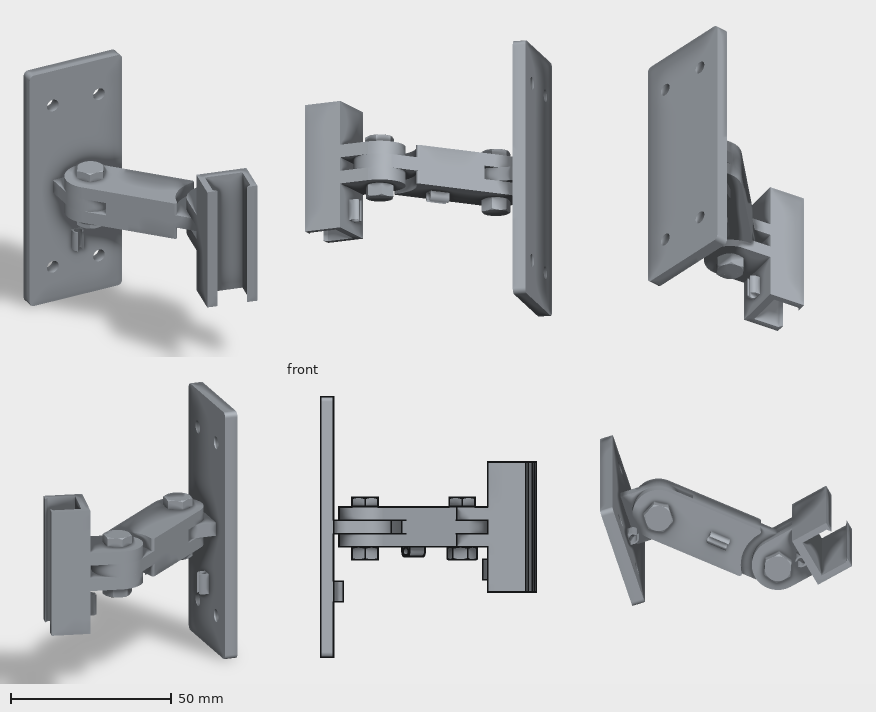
import cadquery as cq
import math


JOINT_WIDTH = 16.256
JOINT_RADIUS = JOINT_WIDTH / 2
TONGUE_THICKNESS = 4.32
CHEEK_THICKNESS = 4.064
FORK_HEIGHT = TONGUE_THICKNESS + 2 * CHEEK_THICKNESS

PLATE_THICKNESS = 4.064
PLATE_WIDTH = 32.512
PLATE_HEIGHT = 81.28
PLATE_CORNER_RADIUS = 1.524
SCREW_HOLE_DIAMETER = 4.064
SCREW_SPACING_Y = PLATE_WIDTH / 2
SCREW_SPACING_Z = 56.9
PLATE_EYELET_Z = -20.1

WALL_PIVOT_X = 13.818
ARM_ANGLE = 41.86
ARM_LENGTH = 40.64
CHANNEL_ANGLE = -11.5
CHANNEL_PIVOT_X = WALL_PIVOT_X + ARM_LENGTH * math.cos(math.radians(ARM_ANGLE))
CHANNEL_PIVOT_Y = ARM_LENGTH * math.sin(math.radians(ARM_ANGLE))

FORK_SLOT_DEPTH = JOINT_RADIUS
SHOULDER_RADIUS = 11.58
SHOULDER_CORNER_RADIUS = 0.7

CHANNEL_BACK = 9.754
CHANNEL_DEPTH = 12.192
CHANNEL_HEIGHT = 40.64
CHANNEL_WEB = 2.54
CHANNEL_FLANGE = 2.032
LIP_LENGTH = 0.95
LIP_HEIGHT = 1.27
CHANNEL_EYELET_Z = -(FORK_HEIGHT + CHANNEL_HEIGHT) / 4

EYELET_WIDTH = 3.556
EYELET_CENTER_HEIGHT = 1.45
EYELET_MOUTH = 1.65
EYELET_LENGTH = 6.5
EYELET_WALL = 0.508

SHANK_DIAMETER = 5.08
HEX_ACROSS_FLATS = 8.128
HEX_ACROSS_CORNERS = HEX_ACROSS_FLATS / math.cos(math.radians(30))
HEAD_HEIGHT = 3.048
WASHER_FACE_HEIGHT = 0.25
NUT_HEIGHT = 4.064
HEX_CHAMFER_ANGLE = 30
BOLT_HEX_ANGLE = 30
WALL_NUT_ANGLE = 30
CHANNEL_NUT_ANGLE = 52.5


def at_wall_pivot(body, angle=0.0):
    return body.rotate((0, 0, 0), (0, 0, 1), angle).translate((WALL_PIVOT_X, 0, 0))


def at_channel_pivot(body, angle=0.0):
    turned = body.rotate((0, 0, 0), (0, 0, 1), angle)
    return turned.translate((CHANNEL_PIVOT_X, CHANNEL_PIVOT_Y, 0))


def box_between(x_start, x_end, width, height):
    """Box centred on Y = 0 and Z = 0."""
    middle = (x_start + x_end) / 2
    return cq.Workplane("XY").box(x_end - x_start, width, height).translate((middle, 0, 0))


def upright_cylinder(radius, height):
    """Cylinder on the Z axis, centred on Z = 0."""
    return cq.Workplane("XY").circle(radius).extrude(height / 2, both=True)


def pivot_hole():
    return upright_cylinder(SHANK_DIAMETER / 2, FORK_HEIGHT)


def eyelet():
    """Open cable clip standing on the plane X = 0, rising along +X, with its bore along Z."""
    legs = box_between(0, EYELET_CENTER_HEIGHT, EYELET_WIDTH, EYELET_LENGTH)
    center = (EYELET_CENTER_HEIGHT, 0, 0)
    ring = upright_cylinder(EYELET_WIDTH / 2, EYELET_LENGTH).translate(center)
    bore = upright_cylinder(EYELET_WIDTH / 2 - EYELET_WALL, EYELET_LENGTH).translate(center)
    mouth = box_between(
        EYELET_CENTER_HEIGHT,
        EYELET_CENTER_HEIGHT + EYELET_WIDTH,
        EYELET_MOUTH,
        EYELET_LENGTH,
    )
    return legs.union(ring).cut(bore).cut(mouth)


def make_wall_plate():
    plate = (
        box_between(0, PLATE_THICKNESS, PLATE_WIDTH, PLATE_HEIGHT)
        .edges("|X")
        .fillet(PLATE_CORNER_RADIUS)
    )
    screw_holes = (
        cq.Workplane("YZ")
        .rarray(SCREW_SPACING_Y, SCREW_SPACING_Z, 2, 2)
        .circle(SCREW_HOLE_DIAMETER / 2)
        .extrude(PLATE_THICKNESS)
    )
    tongue = box_between(PLATE_THICKNESS, WALL_PIVOT_X, JOINT_WIDTH, TONGUE_THICKNESS)
    tongue_end = at_wall_pivot(upright_cylinder(JOINT_RADIUS, TONGUE_THICKNESS))
    plate_eyelet = eyelet().translate((PLATE_THICKNESS, 0, PLATE_EYELET_Z))
    return (
        plate.cut(screw_holes)
        .union(tongue)
        .union(tongue_end)
        .cut(at_wall_pivot(pivot_hole()))
        .union(plate_eyelet)
    )


def round_ended_bar(length, height):
    """Joint-wide bar with round ends centred on the origin and at X = length."""
    return (
        cq.Workplane("XY")
        .center(length / 2, 0)
        .slot2D(length + JOINT_WIDTH, JOINT_WIDTH)
        .extrude(height / 2, both=True)
    )


def make_arm_cheeks():
    """Upper and lower layers of the arm, hollowed around the channel pivot, corners rounded."""
    cheek_end_x = ARM_LENGTH - math.sqrt(SHOULDER_RADIUS**2 - JOINT_RADIUS**2)
    hollow = upright_cylinder(SHOULDER_RADIUS, FORK_HEIGHT).translate((ARM_LENGTH, 0, 0))
    cheeks = (
        box_between(0, cheek_end_x, JOINT_WIDTH, FORK_HEIGHT)
        .cut(hollow)
        .edges("|Z and >X")
        .fillet(SHOULDER_CORNER_RADIUS)
        .union(upright_cylinder(JOINT_RADIUS, FORK_HEIGHT))
    )
    return cheeks.cut(box_between(-JOINT_RADIUS, ARM_LENGTH, JOINT_WIDTH, TONGUE_THICKNESS))


def make_arm():
    """Arm along +X from the wall pivot: a fork at the wall end, a tongue at the channel end."""
    tongue_layer = (
        round_ended_bar(ARM_LENGTH, TONGUE_THICKNESS)
        .cut(box_between(-JOINT_RADIUS, FORK_SLOT_DEPTH, JOINT_WIDTH, TONGUE_THICKNESS))
        .cut(round_ended_bar(FORK_SLOT_DEPTH, TONGUE_THICKNESS))
    )
    arm_eyelet = (
        eyelet()
        .rotate((0, 0, 0), (0, 1, 0), 90)
        .translate((ARM_LENGTH / 2, 0, -FORK_HEIGHT / 2))
    )
    arm = (
        make_arm_cheeks()
        .union(tongue_layer)
        .cut(pivot_hole())
        .cut(pivot_hole().translate((ARM_LENGTH, 0, 0)))
        .union(arm_eyelet)
    )
    return at_wall_pivot(arm, ARM_ANGLE)


def make_channel_profile():
    """U section opening toward +X, with a hooked lip at the end of each flange."""
    front = CHANNEL_BACK + CHANNEL_DEPTH
    web_front = CHANNEL_BACK + CHANNEL_WEB
    inner_half = JOINT_RADIUS - CHANNEL_FLANGE
    upper_half = [
        (front, JOINT_RADIUS),
        (front, inner_half - LIP_HEIGHT),
        (front - LIP_LENGTH, inner_half),
        (web_front, inner_half),
    ]
    lower_half = [(x, -y) for x, y in reversed(upper_half)]
    back = [(CHANNEL_BACK, -JOINT_RADIUS), (CHANNEL_BACK, JOINT_RADIUS)]
    return cq.Workplane("XY").polyline(upper_half + lower_half + back).close()


def make_channel_bracket():
    """Channel along +X from the channel pivot, carried by a fork."""
    channel = make_channel_profile().extrude(CHANNEL_HEIGHT / 2, both=True)
    fork_slot = box_between(-JOINT_RADIUS, CHANNEL_BACK, JOINT_WIDTH, TONGUE_THICKNESS)
    fork = (
        box_between(0, CHANNEL_BACK, JOINT_WIDTH, FORK_HEIGHT)
        .union(upright_cylinder(JOINT_RADIUS, FORK_HEIGHT))
        .cut(fork_slot)
        .cut(pivot_hole())
    )
    channel_eyelet = (
        eyelet()
        .rotate((0, 0, 0), (0, 0, 1), 180)
        .translate((CHANNEL_BACK, 0, CHANNEL_EYELET_Z))
    )
    return at_channel_pivot(channel.union(fork).union(channel_eyelet), CHANNEL_ANGLE)


def chamfered_hex(height, both_ends):
    """Hexagon standing on Z = 0 with a corner on +X and conical chamfers on its end corners."""
    flat_radius = HEX_ACROSS_FLATS / 2
    corner_radius = HEX_ACROSS_CORNERS / 2
    drop = (corner_radius - flat_radius) * math.tan(math.radians(HEX_CHAMFER_ANGLE))
    envelope = upright_cylinder(corner_radius, height).translate((0, 0, height / 2))
    ends = "<Z or >Z" if both_ends else ">Z"
    envelope = envelope.faces(ends).edges().chamfer(drop, corner_radius - flat_radius)
    return cq.Workplane("XY").polygon(6, HEX_ACROSS_CORNERS).extrude(height).intersect(envelope)


def make_bolt():
    """Bolt on the Z axis: its head on the fork, its shank ending flush with the nut."""
    washer_face = cq.Workplane("XY").circle(HEX_ACROSS_FLATS / 2).extrude(WASHER_FACE_HEIGHT)
    hex_head = chamfered_hex(HEAD_HEIGHT - WASHER_FACE_HEIGHT, both_ends=False)
    head = washer_face.union(hex_head.translate((0, 0, WASHER_FACE_HEIGHT)))
    shank = cq.Workplane("XY").circle(SHANK_DIAMETER / 2).extrude(-(FORK_HEIGHT + NUT_HEIGHT))
    return head.union(shank).translate((0, 0, FORK_HEIGHT / 2))


def make_nut():
    """Nut on the Z axis, under the fork."""
    bore = cq.Workplane("XY").circle(SHANK_DIAMETER / 2).extrude(NUT_HEIGHT)
    nut = chamfered_hex(NUT_HEIGHT, both_ends=True).cut(bore)
    return nut.translate((0, 0, -FORK_HEIGHT / 2 - NUT_HEIGHT))


wall_plate = make_wall_plate()
arm = make_arm()
channel_bracket = make_channel_bracket()

fasteners = []
for place, nut_angle in ((at_wall_pivot, WALL_NUT_ANGLE), (at_channel_pivot, CHANNEL_NUT_ANGLE)):
    fasteners.append(place(make_bolt(), BOLT_HEX_ANGLE).val())
    fasteners.append(place(make_nut(), nut_angle).val())

result = cq.Compound.makeCompound(
    [wall_plate.val(), arm.val(), channel_bracket.val(), *fasteners]
)